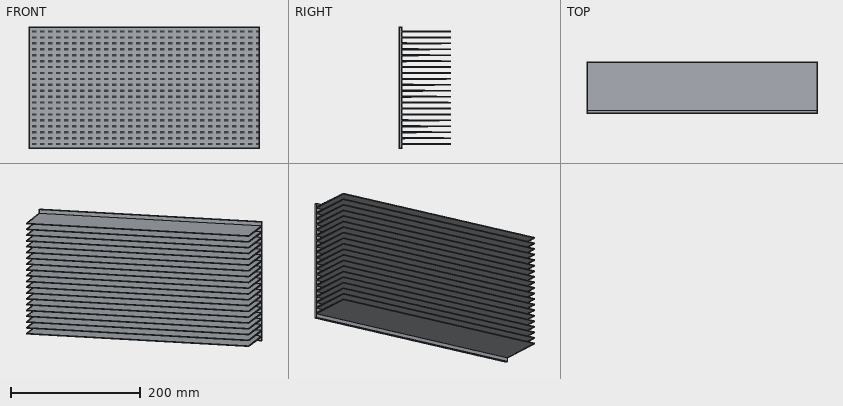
import cadquery as cq

length = 355.6
depth = 78.89
height = 187.45

plate_thickness = 4.19
fin_count = 20
fin_pitch = 9.144
fin_root_thickness = 2.0
fin_tip_thickness = 1.0

plate_front = -depth / 2
plate_back = plate_front + plate_thickness
fin_tip = depth / 2


def make_plate():
    """Flat rectangular plate on the -Y side."""
    plate_center = (plate_front + plate_back) / 2
    return cq.Workplane("XY").box(length, plate_thickness, height).translate((0, plate_center, 0))


def make_fin(center_z):
    """Full-length fin that tapers evenly from the plate to its blunt tip."""
    half_root = fin_root_thickness / 2
    half_tip = fin_tip_thickness / 2
    profile = [
        (plate_back, center_z - half_root),
        (fin_tip, center_z - half_tip),
        (fin_tip, center_z + half_tip),
        (plate_back, center_z + half_root),
    ]
    return cq.Workplane("YZ").polyline(profile).close().extrude(length / 2, both=True)


result = make_plate()
for index in range(fin_count):
    steps_from_middle = index - (fin_count - 1) / 2
    result = result.union(make_fin(steps_from_middle * fin_pitch))